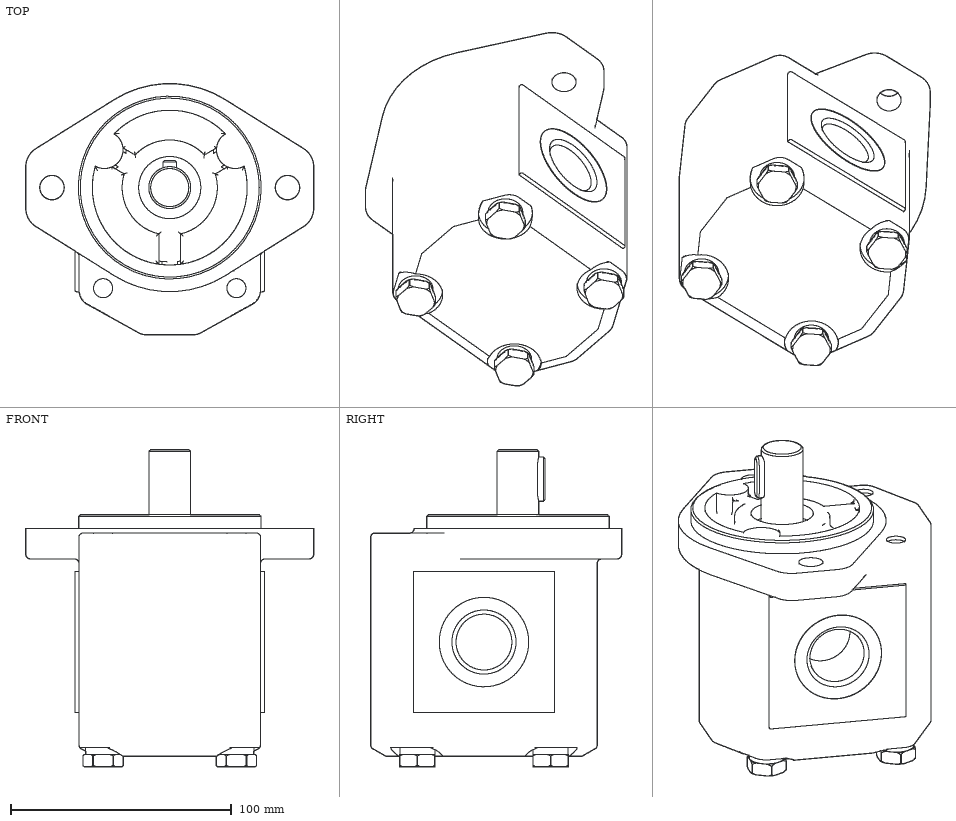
import cadquery as cq
import math


shaft_top = 143.7
pilot_top = 114.2
flange_top = 108.0
flange_bottom = 94.1
body_top = 105.9
pad_top = 88.5
pad_bottom = 24.5
body_bottom = 4.7
skirt_height = 8.8
head_height = 5.7

body_center_y = -15.4
body_half_x = 41.1
body_half_y = 51.3
body_end_half = 12.5
body_slope = 29.0
body_corner_radius = 7.2
bevel_width = 7.0
edge_radius = 1.9
blend_radius = 2.0

pad_half_x = 43.0
pad_half_y = 31.9
pad_edge_radius = 1.0
port_radius = 12.6
port_mouth_radius = 14.5
port_chamfer = 1.9
port_depth = 28.7
port_tip_angle = 118.0
spotface_radius = 20.3
spotface_depth = 0.3

flange_half_x = 65.2
flange_corner_y = 14.8
flange_corner_radius = 9.8
flange_radius = 47.1
flange_edge_radius = 2.3
mount_hole_offset = 53.3
mount_hole_radius = 5.5
pilot_radius = 41.4
pilot_chamfer = 0.9

recess_radius = 35.0
hub_drop = 2.6
recess_depth = 9.2
hub_radius = 21.5
hub_bore_radius = 14.1
rib_width = 9.9
rib_length = 38.0
rib_angles = (30.0, 150.0, 270.0)
boss_angles = (30.0, 150.0)
boss_offset = 34.2
boss_radius = 8.5
recess_fillet = 1.5

shaft_radius = 9.5
shaft_chamfer = 0.9
key_width = 6.3
key_reach = 12.4
key_top = 140.4
key_bottom = 120.3
key_chamfer = 0.9

bolt_offset = 30.2
head_width = 16.1
head_corner_radius = 9.2
head_chamfer = 0.7
washer_radius = 7.9
bolt_pocket_radius = 12.2
bolt_pocket_top = skirt_height
bolt_end_radius = 4.3
bolt_end_depth = 1.7


def cylinder(radius, bottom, top, x=0.0, y=0.0):
    return cq.Workplane("XY", origin=(x, y, bottom)).circle(radius).extrude(top - bottom)


def box(x_size, y_size, bottom, top, x=0.0, y=0.0):
    return cq.Workplane("XY", origin=(x, y, bottom)).rect(x_size, y_size).extrude(top - bottom)


def make_body():
    shoulder_y = body_half_y - (body_half_x - body_end_half) * math.tan(math.radians(body_slope))
    quarter = [(body_half_x, shoulder_y), (body_end_half, body_half_y)]
    upper = quarter + [(-x, y) for x, y in reversed(quarter)]
    lower = [(-x, -y) for x, y in upper]
    body = (
        cq.Workplane("XY", origin=(0, body_center_y, body_bottom))
        .polyline(upper + lower)
        .close()
        .extrude(body_top - body_bottom)
        .edges("|Z")
        .fillet(body_corner_radius)
        .faces(">Z")
        .edges()
        .fillet(edge_radius)
    )
    body = body.faces("<Z").edges().chamfer(skirt_height - body_bottom, bevel_width)
    skirt_corner = cq.selectors.NearestToPointSelector((body_half_x, body_center_y, skirt_height))
    return body.edges(skirt_corner).fillet(edge_radius)


def make_flange():
    corner_reach = math.hypot(flange_half_x, flange_corner_y)
    tangent_angle = math.atan2(flange_corner_y, flange_half_x) + math.acos(flange_radius / corner_reach)
    tangent_x = flange_radius * math.cos(tangent_angle)
    tangent_y = flange_radius * math.sin(tangent_angle)
    return (
        cq.Workplane("XY", origin=(0, 0, flange_bottom))
        .moveTo(flange_half_x, -flange_corner_y)
        .lineTo(flange_half_x, flange_corner_y)
        .lineTo(tangent_x, tangent_y)
        .threePointArc((0, flange_radius), (-tangent_x, tangent_y))
        .lineTo(-flange_half_x, flange_corner_y)
        .lineTo(-flange_half_x, -flange_corner_y)
        .lineTo(-tangent_x, -tangent_y)
        .threePointArc((0, -flange_radius), (tangent_x, -tangent_y))
        .close()
        .extrude(flange_top - flange_bottom)
        .edges("|Z and (>X or <X)")
        .fillet(flange_corner_radius)
        .faces("<Z")
        .edges()
        .fillet(flange_edge_radius)
    )


def make_recess():
    """Space removed from the pilot: three pockets around a sunken hub and its ribs."""
    floor = pilot_top - recess_depth
    hub_top = pilot_top - hub_drop
    spider = cylinder(hub_radius, floor, hub_top)
    for angle in rib_angles:
        rib = box(rib_length, rib_width, floor, hub_top, x=rib_length / 2)
        spider = spider.union(rib.rotate((0, 0, 0), (0, 0, 1), angle))
    rounded_spider = spider.faces(">Z").edges().fillet(recess_fillet)
    cavity = cylinder(recess_radius, floor, pilot_top)
    for angle in boss_angles:
        boss = cylinder(boss_radius, floor, pilot_top, x=boss_offset)
        cavity = cavity.cut(boss.rotate((0, 0, 0), (0, 0, 1), angle))
    pockets = cavity.cut(rounded_spider).faces("<Z").edges().fillet(recess_fillet)
    upper = cavity.intersect(box(2 * recess_radius, 2 * recess_radius, hub_top, pilot_top))
    rim_blend = upper.cut(upper.faces("<Z").edges().fillet(recess_fillet))
    return pockets.cut(rim_blend.intersect(spider.translate((0, 0, pilot_top - hub_top))))


def make_port(side):
    """Drilled port entering the pad on the +X (side = 1) or -X (side = -1) face."""
    tip_length = port_radius / math.tan(math.radians(port_tip_angle / 2))
    floor_x = pad_half_x - spotface_depth
    profile = [
        (pad_half_x, 0),
        (pad_half_x, spotface_radius),
        (floor_x, spotface_radius),
        (floor_x, port_mouth_radius),
        (floor_x - port_chamfer, port_radius),
        (pad_half_x - port_depth, port_radius),
        (pad_half_x - port_depth - tip_length, 0),
    ]
    port = cq.Workplane("XY").polyline([(side * x, r) for x, r in profile]).close()
    port = port.revolve(360, (0, 0, 0), (1, 0, 0))
    return port.translate((0, body_center_y, (pad_top + pad_bottom) / 2))


def make_bolt_head(x, y):
    across_corners = 2 * head_width / math.sqrt(3)
    head = cq.Workplane("XY", origin=(x, y, 0)).polygon(6, across_corners).extrude(head_height)
    rounding = cylinder(head_corner_radius, 0, head_height, x, y)
    rounding = rounding.faces("<Z or >Z").edges().chamfer(head_chamfer)
    return head.intersect(rounding).union(cylinder(washer_radius, 0.5 * head_height, bolt_pocket_top, x, y))


def make_shaft():
    shaft = cylinder(shaft_radius, pilot_top - recess_depth, shaft_top).faces(">Z").chamfer(shaft_chamfer)
    key = (
        cq.Workplane("XZ", origin=(0, 0, (key_top + key_bottom) / 2))
        .slot2D(key_top - key_bottom, key_width, 90)
        .extrude(-key_reach)
    )
    return shaft.union(key.faces(">Y").edges().chamfer(key_chamfer))


housing = make_body().union(make_flange())
deck_corner = cq.selectors.NearestToPointSelector((0, -flange_radius, body_top))
housing = housing.edges(deck_corner).fillet(blend_radius)

for side in (-1, 1):
    pad = box(pad_half_x, 2 * pad_half_y, pad_bottom, pad_top, x=side * pad_half_x / 2, y=body_center_y)
    housing = housing.union(pad.edges("|Z").fillet(pad_edge_radius))
    housing = housing.cut(make_port(side))
    mount_hole = cylinder(mount_hole_radius, flange_bottom, flange_top, x=side * mount_hole_offset)
    housing = housing.cut(mount_hole)

housing = housing.union(cylinder(pilot_radius, body_top, pilot_top).faces(">Z").chamfer(pilot_chamfer))
housing = housing.cut(make_recess())
housing = housing.cut(cylinder(hub_bore_radius, pilot_top - recess_depth, pilot_top))

for x in (-bolt_offset, bolt_offset):
    for y in (body_center_y - bolt_offset, body_center_y + bolt_offset):
        housing = housing.cut(cylinder(bolt_pocket_radius, body_bottom, bolt_pocket_top, x, y))
        housing = housing.union(make_bolt_head(x, y))
    bolt_end = cylinder(
        bolt_end_radius, body_top - bolt_end_depth, body_top, x, body_center_y - bolt_offset
    )
    housing = housing.cut(bolt_end)

result = housing.union(make_shaft())